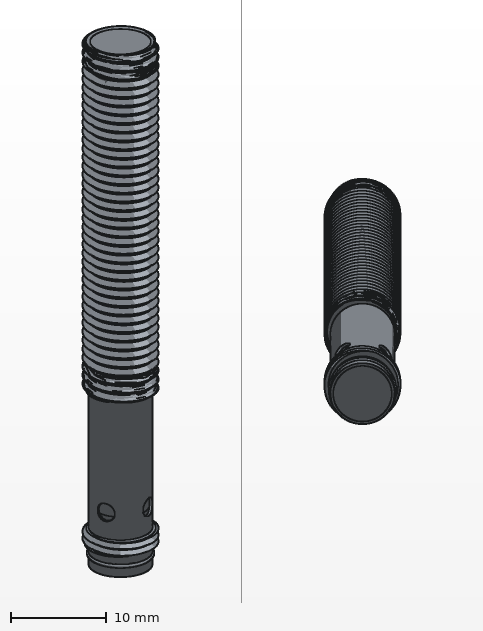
import cadquery as cq

total_length = 60.0
housing_radius = 3.35
bore_radius = 3.05

crest_diameter = 8.0
crest_radius = crest_diameter / 2
thread_sink = 0.05
root_width_ratio = 0.98
mounting_bottom = 20.0
mounting_turns = 40
mounting_pitch = (total_length - mounting_bottom) / mounting_turns
mounting_first_crest = 19.8
plug_pitch = 0.75 * mounting_pitch
plug_bottom = 2.35
plug_top = 4.25
plug_first_crest = 2.3

seal_outer_radius = 3.55
seal_cord_radius = 0.21
seal_height = 1.25

window_count = 4
window_radius = 1.0
window_height = 7.25

insert_top = 6.8
cap_radius = 3.2
cap_thickness = 1.2


def cylinder(radius, bottom, top):
    return cq.Workplane("XY").workplane(offset=bottom).circle(radius).extrude(top - bottom)


def helix_edge(pitch, length, radius, bottom):
    """Left-hand helix that starts on the +X side."""
    helix = cq.Wire.makeHelix(pitch, length, radius, lefthand=True)
    return helix.translate(cq.Vector(0, 0, bottom)).Edges()[0]


def thread_ridge(pitch, first_crest, bottom, top):
    """Helical V ridge on the housing wall, one turn longer at both ends and then cut flat."""
    root_radius = housing_radius - thread_sink
    half_width = root_width_ratio * pitch / 2
    start = first_crest - pitch
    length = top + pitch - start
    lower_root = helix_edge(pitch, length, root_radius, start - half_width)
    crest = helix_edge(pitch, length, crest_radius, start)
    upper_root = helix_edge(pitch, length, root_radius, start + half_width)
    edges = [lower_root, crest, upper_root]

    faces = [
        cq.Face.makeRuledSurface(lower_root, crest),
        cq.Face.makeRuledSurface(crest, upper_root),
        cq.Face.makeRuledSurface(upper_root, lower_root),
    ]
    for end in (0, 1):
        corners = [edge.positionAt(end) for edge in edges]
        faces.append(cq.Face.makeFromWires(cq.Wire.makePolygon(corners, close=True)))

    ridge = cq.Workplane(cq.Solid.makeSolid(cq.Shell.makeShell(faces)))
    return ridge.intersect(cylinder(crest_radius + thread_sink, bottom, top))


def make_sealing_ring():
    """Round-cord ring that stands proud of the housing wall."""
    cord_center = seal_outer_radius - seal_cord_radius
    return (
        cq.Workplane("XZ")
        .center(cord_center, seal_height)
        .circle(seal_cord_radius)
        .revolve(360, (-cord_center, 0, 0), (-cord_center, 1, 0))
    )


def window_drills():
    """Radial cylinders, one for each window."""
    drill = cq.Workplane("YZ").center(0, window_height).circle(window_radius).extrude(crest_radius)
    drills = cq.Workplane()
    for index in range(window_count):
        angle = index * 360 / window_count
        drills = drills.add(drill.rotate((0, 0, 0), (0, 0, 1), angle))
    return drills.combine()


def make_housing():
    """Tube with a cap seat, seal groove, windows and threads, turned so the helices start at -X."""
    body = cylinder(housing_radius, 0, total_length)
    body = body.cut(cylinder(bore_radius, 0, total_length - cap_thickness))
    body = body.cut(cylinder(cap_radius, total_length - cap_thickness, total_length))
    body = body.cut(make_sealing_ring())
    body = body.cut(window_drills())
    body = body.union(thread_ridge(mounting_pitch, mounting_first_crest, mounting_bottom, total_length))
    body = body.union(thread_ridge(plug_pitch, plug_first_crest, plug_bottom, plug_top))
    return body.rotate((0, 0, 0), (0, 0, 1), 180)


housing = make_housing()
sealing_ring = make_sealing_ring()
contact_insert = cylinder(bore_radius, 0, insert_top)
core = cylinder(bore_radius, insert_top, total_length - cap_thickness)
sensing_cap = cylinder(cap_radius, total_length - cap_thickness, total_length)

result = cq.Compound.makeCompound(
    [housing.val(), sealing_ring.val(), contact_insert.val(), core.val(), sensing_cap.val()]
)